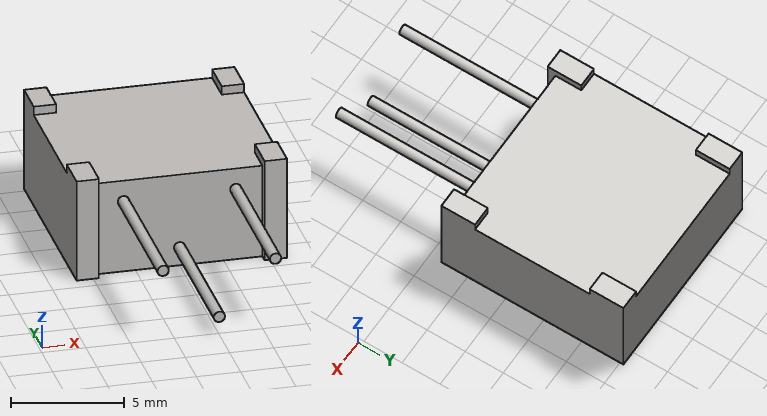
import cadquery as cq

width = 9.52
height = 4.84
total_length = 16.39
housing_length = 9.55

standoff = 0.41
standoff_width = 1.02
pad_length = 1.77

lead_diameter = 0.5
lead_pitch = 2.54
upper_lead_z = 3.43
lower_lead_z = upper_lead_z - lead_pitch
lead_tip_y = housing_length - total_length


def make_housing():
    """Box with raised corner pads on top and full-height feet on the front."""
    block = cq.Workplane("XY").box(width, housing_length, height, centered=(True, False, False))

    side_gap = (
        cq.Workplane("XY", origin=(0, pad_length, height - standoff))
        .box(width, housing_length - 2 * pad_length, standoff, centered=(True, False, False))
    )
    inner_width = width - 2 * standoff_width
    end_gap = (
        cq.Workplane("XY", origin=(0, 0, height - standoff))
        .box(inner_width, housing_length, standoff, centered=(True, False, False))
    )

    front_gap = cq.Workplane("XY").box(inner_width, standoff, height, centered=(True, False, False))
    return block.cut(side_gap).cut(end_gap).cut(front_gap)


def make_lead(x, z):
    """Round lead that starts on the recessed front face and points along -Y."""
    return (
        cq.Workplane("XZ", origin=(x, standoff, z))
        .circle(lead_diameter / 2)
        .extrude(standoff - lead_tip_y)
    )


housing = make_housing()

lead_places = [
    (-lead_pitch, upper_lead_z),
    (0, lower_lead_z),
    (lead_pitch, upper_lead_z),
]
leads = [make_lead(x, z) for x, z in lead_places]

result = cq.Compound.makeCompound([housing.val(), *[lead.val() for lead in leads]])